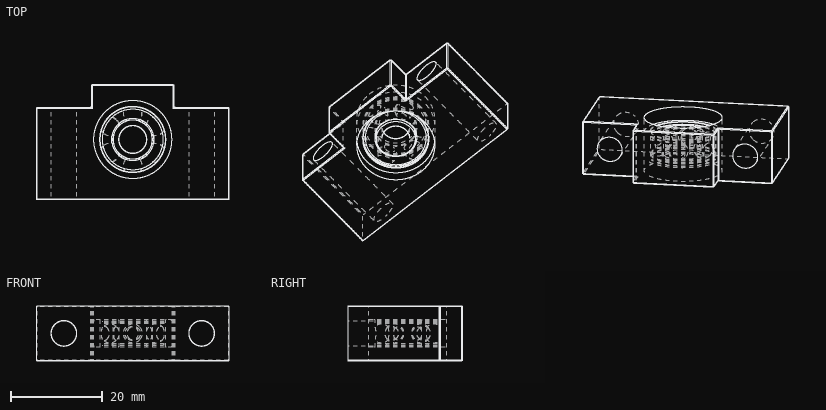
import cadquery as cq
import math

LENGTH = 42.0
DEPTH = 25.0
HEIGHT = 12.0
TAB_WIDTH = 18.0
TAB_DEPTH = 5.0
AXIS_TO_FRONT = 13.0
EDGE_CHAMFER = 0.2
MOUNT_HOLE_DIAMETER = 5.5
MOUNT_HOLE_SPACING = 30.0

BEARING_DIAMETER = 17.0
BEARING_WIDTH = 6.0
RING_ROUNDING = 0.3
SHAFT_DIAMETER = 6.0
INNER_RING_DIAMETER = 8.53
OUTER_RING_BORE = 14.4
OUTER_BORE_CHAMFER = 0.1

SHIELD_BORE = 9.15
SHIELD_FACE_DIAMETER = 13.25
SHIELD_RECESS = 0.4
SHIELD_RIM_DROP = 0.25
SHIELD_THICKNESS = 0.4

BALL_COUNT = 6
BALL_DIAMETER = 4.1
FIRST_BALL_ANGLE = 30.0

TOLERANCE = 0.005

FRONT_Y = -AXIS_TO_FRONT
BACK_Y = FRONT_Y + DEPTH
SHOULDER_Y = BACK_Y - TAB_DEPTH
MID_Z = HEIGHT / 2
HALF_WIDTH = BEARING_WIDTH / 2
PITCH_RADIUS = (BEARING_DIAMETER + SHAFT_DIAMETER) / 4


def make_housing():
    """T-shaped block with a bearing bore along Z and two mounting holes along Y."""
    half_length = LENGTH / 2
    half_tab = TAB_WIDTH / 2
    block = (
        cq.Workplane("XY")
        .moveTo(-half_length, FRONT_Y)
        .lineTo(half_length, FRONT_Y)
        .lineTo(half_length, SHOULDER_Y)
        .lineTo(half_tab, SHOULDER_Y)
        .lineTo(half_tab, BACK_Y)
        .lineTo(-half_tab, BACK_Y)
        .lineTo(-half_tab, SHOULDER_Y)
        .lineTo(-half_length, SHOULDER_Y)
        .close()
        .extrude(HEIGHT)
    )

    rim_edges = block.faces("<Z or >Z").edges("not <Y").vals()
    outer_corners = block.edges("|Z").filter(is_outer_back_corner).vals()
    block = block.newObject(rim_edges + outer_corners).chamfer(EDGE_CHAMFER)
    block = block.edges("|Z").filter(is_inner_corner).chamfer(EDGE_CHAMFER)

    bearing_bore = cq.Workplane("XY").circle(BEARING_DIAMETER / 2).extrude(HEIGHT)
    mount_holes = (
        cq.Workplane("XZ", origin=(0, BACK_Y, MID_Z))
        .pushPoints([(-MOUNT_HOLE_SPACING / 2, 0), (MOUNT_HOLE_SPACING / 2, 0)])
        .circle(MOUNT_HOLE_DIAMETER / 2)
        .extrude(DEPTH)
    )
    return block.cut(bearing_bore).cut(mount_holes)


def is_inner_corner(edge):
    """True for the two concave upright edges where the tab meets the shoulders."""
    center = edge.Center()
    on_tab_side = math.isclose(abs(center.x), TAB_WIDTH / 2, abs_tol=TOLERANCE)
    on_shoulder = math.isclose(center.y, SHOULDER_Y, abs_tol=TOLERANCE)
    return on_tab_side and on_shoulder


def is_outer_back_corner(edge):
    """True for the convex upright edges at the ends of the shoulders and at the back of the tab."""
    at_front = math.isclose(edge.Center().y, FRONT_Y, abs_tol=TOLERANCE)
    return not at_front and not is_inner_corner(edge)


def revolve_ring(section):
    """Revolve (radius, height) points about the bearing axis, with height 0 at mid-width."""
    return (
        cq.Workplane("XZ", origin=(0, 0, MID_Z))
        .polyline(section)
        .close()
        .revolve(360, (0, 0, 0), (0, 1, 0))
    )


def round_ring_corners(ring, radius):
    """Round the two circular end edges that lie at the given radius."""
    corners = ring.edges("%CIRCLE").filter(lambda edge: math.isclose(edge.radius(), radius))
    return corners.fillet(RING_ROUNDING)


def mirrored_section(upper_half):
    """Close a half section by repeating it, reversed, below mid-width."""
    lower_half = [(radius, -height) for radius, height in reversed(upper_half)]
    return upper_half + lower_half


def make_bearing():
    """Shielded ball bearing, its rings joined into one solid by the balls."""
    shaft_radius = SHAFT_DIAMETER / 2
    inner_ring_radius = INNER_RING_DIAMETER / 2
    inner_ring = revolve_ring(mirrored_section([
        (inner_ring_radius, HALF_WIDTH),
        (shaft_radius, HALF_WIDTH),
    ]))
    inner_ring = round_ring_corners(inner_ring, shaft_radius)

    bearing_radius = BEARING_DIAMETER / 2
    bore_radius = OUTER_RING_BORE / 2
    wall_radius = bore_radius - OUTER_BORE_CHAMFER
    shield_top = HALF_WIDTH - SHIELD_RECESS
    shield_bottom = shield_top - SHIELD_THICKNESS
    shield_rim = shield_top - SHIELD_RIM_DROP
    outer_ring = revolve_ring(mirrored_section([
        (wall_radius, shield_bottom),
        (SHIELD_BORE / 2, shield_bottom),
        (SHIELD_BORE / 2, shield_top),
        (SHIELD_FACE_DIAMETER / 2, shield_top),
        (wall_radius, shield_rim),
        (wall_radius, HALF_WIDTH - OUTER_BORE_CHAMFER),
        (bore_radius, HALF_WIDTH),
        (bearing_radius, HALF_WIDTH),
    ]))
    outer_ring = round_ring_corners(outer_ring, bearing_radius)

    bearing = inner_ring
    for index in range(BALL_COUNT):
        angle = math.radians(FIRST_BALL_ANGLE + index * 360 / BALL_COUNT)
        center = (PITCH_RADIUS * math.cos(angle), PITCH_RADIUS * math.sin(angle), MID_Z)
        ball = cq.Workplane("XY").sphere(BALL_DIAMETER / 2).translate(center)
        bearing = bearing.union(ball)
    return bearing.union(outer_ring)


housing = make_housing()
bearing = make_bearing()

result = cq.Compound.makeCompound([housing.val(), bearing.val()])